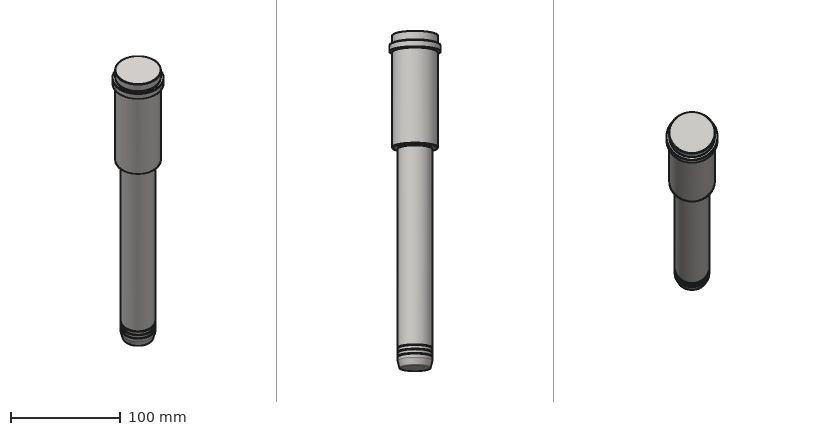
import cadquery as cq
import math

length = 310.0

shaft_diameter = 32.0
head_diameter = 42.0
collar_diameter = 47.0

head_length = 105.0
collar_depth = 9.0
collar_height = 6.0
head_top_chamfer = 0.5
head_bottom_chamfer = 0.8
collar_chamfer = 0.5

relief_width = 1.0
relief_depth = 0.25

lead_in_height = 7.0
lead_in_angle = 14.0
tip_fillet = 1.0

groove_count = 3
groove_pitch = 4.0
groove_width = 1.0
groove_depth = 0.5
first_groove_z = 10.5

head_bottom_z = length - head_length
collar_top_z = length - collar_depth
collar_bottom_z = collar_top_z - collar_height


def cylinder(diameter, bottom_z, height):
    """Solid cylinder on the Z axis."""
    return cq.Workplane("XY").workplane(offset=bottom_z).circle(diameter / 2).extrude(height)


def revolve_profile(points):
    """Revolve a closed (radius, z) outline about the Z axis."""
    return cq.Workplane("XZ").polyline(points).close().revolve(360, (0, 0, 0), (0, 1, 0))


def make_shaft():
    """Guide shaft with a tapered lower end and a rounded tip."""
    shaft_radius = shaft_diameter / 2
    tip_radius = shaft_radius - lead_in_height * math.tan(math.radians(lead_in_angle))
    shaft = revolve_profile([
        (0, 0),
        (tip_radius, 0),
        (shaft_radius, lead_in_height),
        (shaft_radius, collar_top_z),
        (0, collar_top_z),
    ])
    return shaft.faces("<Z").edges().fillet(tip_fillet)


def make_head():
    """Thick upper cylinder with both rims chamfered."""
    head = cylinder(head_diameter, head_bottom_z, head_length)
    head = head.faces(">Z").edges().chamfer(head_top_chamfer)
    return head.faces("<Z").edges().chamfer(head_bottom_chamfer)


def make_collar():
    """Ring around the head with its upper rim chamfered."""
    collar = cylinder(collar_diameter, collar_bottom_z, collar_height)
    return collar.faces(">Z").edges().chamfer(collar_chamfer)


def make_relief(diameter, bottom_z):
    """Square-sided ring that cuts a shallow relief into a cylinder of the given diameter."""
    ring = cylinder(diameter, bottom_z, relief_width)
    return ring.cut(cylinder(diameter - 2 * relief_depth, bottom_z, relief_width))


def make_groove(center_z):
    """V-section ring that cuts one groove into the shaft."""
    shaft_radius = shaft_diameter / 2
    return revolve_profile([
        (shaft_radius, center_z - groove_width / 2),
        (shaft_radius - groove_depth, center_z),
        (shaft_radius, center_z + groove_width / 2),
    ])


result = make_shaft().union(make_head()).union(make_collar())

result = result.cut(make_relief(head_diameter, collar_top_z))
result = result.cut(make_relief(head_diameter, collar_bottom_z - relief_width))
result = result.cut(make_relief(shaft_diameter, head_bottom_z - relief_width))

for index in range(groove_count):
    result = result.cut(make_groove(first_groove_z + index * groove_pitch))